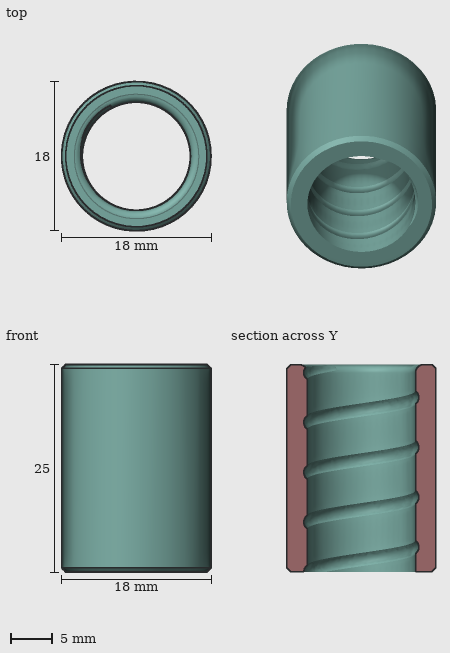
import cadquery as cq

length = 25
outer_radius = 9
bore_radius = 6.5
edge_chamfer = 0.5
entry_fillet = 1

groove_pitch = 6
groove_section_radius = 1
groove_depth = 0.4
groove_start_angle = 45
groove_start_height = -3.75
groove_turns = 4.8


def make_body():
    """Hollow cylinder with chamfered outer ends and a rounded upper bore entry."""
    profile = (
        cq.Workplane("XZ")
        .moveTo(bore_radius, 0)
        .lineTo(outer_radius - edge_chamfer, 0)
        .lineTo(outer_radius, edge_chamfer)
        .lineTo(outer_radius, length - edge_chamfer)
        .lineTo(outer_radius - edge_chamfer, length)
        .lineTo(bore_radius + entry_fillet, length)
        .radiusArc((bore_radius, length - entry_fillet), -entry_fillet)
        .close()
    )
    return profile.revolve(360, (0, 0, 0), (0, 1, 0))


def make_groove():
    """Helical cutter whose round section dips below the bore surface."""
    path_radius = bore_radius + groove_depth - groove_section_radius
    helix = cq.Wire.makeHelix(groove_pitch, groove_pitch * groove_turns, path_radius, lefthand=True)
    section = cq.Workplane("XZ").center(path_radius, 0).circle(groove_section_radius)
    cutter = section.sweep(cq.Workplane(obj=helix), isFrenet=True)
    turned = cutter.rotate((0, 0, 0), (0, 0, 1), groove_start_angle)
    return turned.translate((0, 0, groove_start_height))


result = make_body().cut(make_groove())